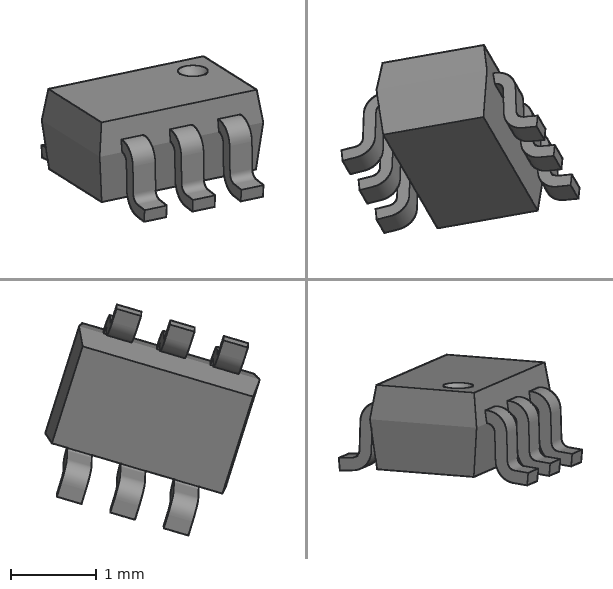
import cadquery as cq
import math

body_width = 1.35
body_length = 2.2
upper_height = 0.4
lower_height = 0.6
standoff = 0.098
upper_draft = 8.0
lower_draft = 6.0
parting_z = standoff + lower_height
top_z = parting_z + upper_height

lead_span = 2.4
lead_width = 0.3
lead_thickness = 0.15
lead_pitch = 0.65
leads_per_side = 3
bend_inner_radius = 0.1
bend_outer_radius = bend_inner_radius + lead_thickness
leg_slope = math.radians(88.3)
foot_slope = math.radians(5.0)
lead_embed = 0.145

dimple_radius = 0.175
dimple_depth = 0.1
dimple_x = -0.27
dimple_y = 0.7


def make_body():
    """Both halves taper away from the widest section at the parting plane."""
    parting_plane = cq.Workplane("XY").workplane(offset=parting_z)
    upper = parting_plane.rect(body_width, body_length).extrude(upper_height, taper=upper_draft)
    lower = parting_plane.rect(body_width, body_length).extrude(-lower_height, taper=lower_draft)
    return upper.union(lower)


def step(point, distance, slope):
    """Move along a direction that falls below horizontal by the slope angle."""
    x, z = point
    return (x + distance * math.cos(slope), z - distance * math.sin(slope))


def rise(point, distance, slope):
    """Move at right angles to a sloping direction, on its upper side."""
    x, z = point
    return (x + distance * math.sin(slope), z + distance * math.cos(slope))


def make_lead():
    """Lead on the +X side, centred on y = 0."""
    upper_center = (body_width / 2, parting_z - bend_inner_radius)
    upper_mid_slope = leg_slope / 2
    lower_mid_slope = (leg_slope + foot_slope) / 2

    radius_sum = bend_inner_radius + bend_outer_radius
    offset_x, offset_z = rise(upper_center, radius_sum, leg_slope)
    reach = lead_span / 2 - offset_x + bend_inner_radius * math.sin(foot_slope)
    drop = offset_z - bend_outer_radius * math.cos(foot_slope)
    turn = math.sin(leg_slope - foot_slope)
    leg_length = (drop * math.cos(foot_slope) - reach * math.sin(foot_slope)) / turn
    foot_length = (reach * math.sin(leg_slope) - drop * math.cos(leg_slope)) / turn
    lower_center = step((offset_x, offset_z), leg_length, leg_slope)

    root_x = body_width / 2 - lead_embed
    foot_top_start = rise(lower_center, -bend_inner_radius, foot_slope)
    foot_bottom_start = rise(lower_center, -bend_outer_radius, foot_slope)
    profile = (
        cq.Workplane("XZ")
        .moveTo(root_x, parting_z + lead_thickness)
        .lineTo(*rise(upper_center, bend_outer_radius, 0))
        .threePointArc(
            rise(upper_center, bend_outer_radius, upper_mid_slope),
            rise(upper_center, bend_outer_radius, leg_slope),
        )
        .lineTo(*rise(lower_center, -bend_inner_radius, leg_slope))
        .threePointArc(rise(lower_center, -bend_inner_radius, lower_mid_slope), foot_top_start)
        .lineTo(*step(foot_top_start, foot_length, foot_slope))
        .lineTo(*step(foot_bottom_start, foot_length, foot_slope))
        .lineTo(*foot_bottom_start)
        .threePointArc(
            rise(lower_center, -bend_outer_radius, lower_mid_slope),
            rise(lower_center, -bend_outer_radius, leg_slope),
        )
        .lineTo(*rise(upper_center, bend_inner_radius, leg_slope))
        .threePointArc(
            rise(upper_center, bend_inner_radius, upper_mid_slope),
            rise(upper_center, bend_inner_radius, 0),
        )
        .lineTo(root_x, parting_z)
        .close()
    )
    return profile.extrude(lead_width / 2, both=True)


def add_leads(body):
    """Place a row of leads on the +X side and its mirror image on the -X side."""
    lead = make_lead()
    mirrored_lead = lead.mirror("YZ")
    for index in range(leads_per_side):
        y = (index - (leads_per_side - 1) / 2) * lead_pitch
        body = body.union(lead.translate((0, y, 0)))
        body = body.union(mirrored_lead.translate((0, y, 0)))
    return body


def make_dimple():
    """Sphere that meets the top face at the rim radius and sinks to the dimple depth."""
    sphere_radius = (dimple_radius**2 + dimple_depth**2) / (2 * dimple_depth)
    center_z = top_z - dimple_depth + sphere_radius
    return cq.Workplane("XY").sphere(sphere_radius).translate((dimple_x, dimple_y, center_z))


result = add_leads(make_body()).cut(make_dimple())